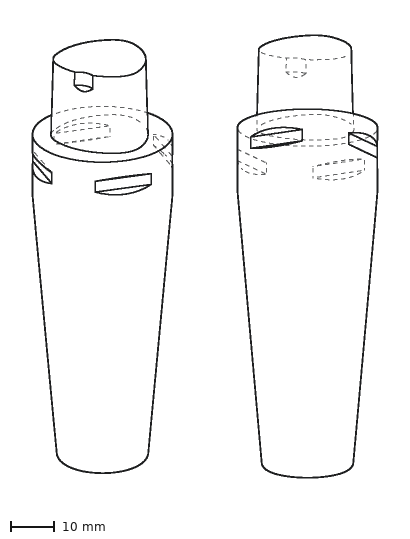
import cadquery as cq
import math

total_height = 99.0
shank_height = 18.8
collar_height = 15.2
collar_top = total_height - shank_height
collar_bottom = collar_top - collar_height

collar_radius = 32.0 / 2
nose_radius = 10.4
nose_fillet = 1.2

lobe_reach = 11.8
flank_reach = 10.4
flank_center_offset = 4.95
shank_taper = 0.5
lobe_angles = (90, 210, 330)

groove_center_z = 74.1
groove_floor_height = 2.7
groove_depth = 1.5
groove_wall_slope = 30
groove_angles = (45, 135, 225, 315)

notch_radius = 4.0
notch_depth = 3.3
notch_inner_y = -9.0
notch_end_slope = 45


def polar(radius, angle):
    a = math.radians(angle)
    return radius * math.cos(a), radius * math.sin(a)


def make_body():
    profile = (
        cq.Workplane("XZ")
        .moveTo(0, 0)
        .lineTo(nose_radius, 0)
        .lineTo(collar_radius, collar_bottom)
        .lineTo(collar_radius, collar_top)
        .lineTo(0, collar_top)
        .close()
    )
    body = profile.revolve(360, (0, 0, 0), (0, 1, 0))
    return body.faces("<Z").edges().fillet(nose_fillet)


def lobed_outline(plane, inset):
    """Draw three lobe arcs joined tangentially by three wider flank arcs."""
    rise = lobe_reach - flank_reach
    offset = flank_center_offset
    lobe_center = rise * (2 * offset - rise) / (offset - 2 * rise)
    lobe_radius = lobe_reach - lobe_center - inset

    flank_x, flank_y = polar(-offset, 60)
    seam_direction = math.atan2(-flank_y, lobe_center - flank_x)
    seam_x = lobe_center + lobe_radius * math.cos(seam_direction)
    seam_y = lobe_radius * math.sin(seam_direction)
    seam_reach = math.hypot(seam_x, seam_y)
    seam_angle = math.degrees(math.atan2(seam_y, seam_x))

    outline = plane.moveTo(*polar(seam_reach, lobe_angles[0] - seam_angle))
    for angle in lobe_angles:
        lobe_tip = polar(lobe_reach - inset, angle)
        lobe_end = polar(seam_reach, angle + seam_angle)
        flank_middle = polar(flank_reach - inset, angle + 60)
        next_lobe_start = polar(seam_reach, angle + 120 - seam_angle)
        outline = outline.threePointArc(lobe_tip, lobe_end)
        outline = outline.threePointArc(flank_middle, next_lobe_start)
    return outline.close()


def make_shank():
    base = lobed_outline(cq.Workplane("XY").workplane(offset=collar_top), 0)
    top_plane = base.workplane(offset=shank_height)
    return lobed_outline(top_plane, shank_taper).loft(ruled=True)


def make_groove(angle):
    floor = collar_radius - groove_depth
    reach = 2 * groove_depth
    inner = groove_floor_height / 2
    outer = inner + reach * math.tan(math.radians(groove_wall_slope))
    section = [(floor, -inner), (floor + reach, -outer), (floor + reach, outer), (floor, inner)]
    cutter = cq.Workplane("XZ").polyline(section).close().extrude(collar_radius, both=True)
    return cutter.translate((0, 0, groove_center_z)).rotate((0, 0, 0), (0, 0, 1), angle)


def make_notch():
    rim_z = total_height - notch_depth
    tip_z = rim_z - notch_radius * math.tan(math.radians(notch_end_slope))
    section = [(0, tip_z), (notch_radius, rim_z), (notch_radius, total_height), (0, total_height)]
    cutter = cq.Workplane("XZ").polyline(section).close().revolve(360, (0, 0, 0), (0, 1, 0))
    return cutter.translate((0, notch_inner_y - notch_radius, 0))


result = make_body().union(make_shank().cut(make_notch()))
for groove_angle in groove_angles:
    result = result.cut(make_groove(groove_angle))